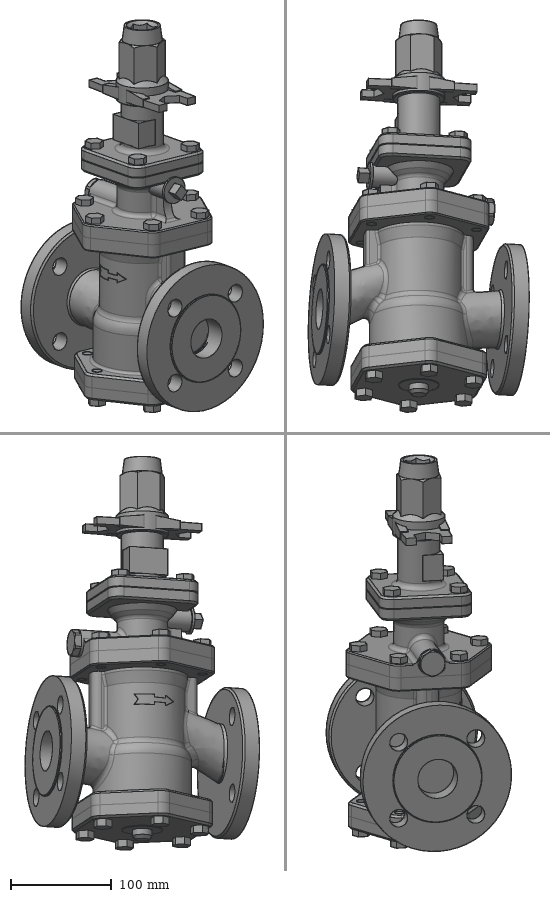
import cadquery as cq
import math


face_to_face = 200.0
flange_dia = 150.0
flange_thickness = 17.0
flange_edge_chamfer = 2.0
raised_face_dia = 90.0
raised_face_height = 2.0
raised_face_chamfer = 0.9
flange_bolt_circle = 110.0
flange_hole_dia = 18.0
port_dia = 40.0
port_depth = 21.0

bottom_z = -83.5
bottom_cover_z = -73.0
bottom_joint_z = -60.0
bottom_flange_top_z = -46.0
bonnet_flange_bottom_z = 82.0
lower_body_radius = 49.0
upper_body_radius = 42.5
body_collar_radius = 45.0
body_shoulder_low_z = -6.0
body_shoulder_mid_z = 5.5
body_shoulder_high_z = 11.5
body_cone_low_z = 67.0
body_cone_high_z = 79.0
body_root_fillet = 3.0
passage_rib_reach = 54.4
passage_rib_half_width = 11.0
passage_rib_root_fillet = 3.0
inlet_rib_edge_fillet = 8.2
outlet_rib_edge_fillet = 3.0
pipe_root_fillet = 5.5
inlet_rib_low_z = 15.0
outlet_rib_low_z = 40.0

bonnet_width = 130.0
bottom_cover_width = 126.0
hex_corner_radius = 12.0
bonnet_edge_chamfer = 1.3
bottom_edge_chamfer = 2.2
bonnet_joint_z = 96.0
bonnet_top_z = 109.5
bonnet_bolt_radius = 61.0
bottom_bolt_radius = 58.0
bolts_per_joint = 6

bolt_head_width = 15.8
bolt_head_height = 6.2
bottom_bolt_head_height = 7.4
bolt_shank_dia = 10.0
bolt_end_projection = 0.5

drain_pad_radius = 20.0
drain_pad_height = 1.0
drain_plug_radius = 9.8
drain_plug_tip_radius = 7.0
drain_plug_cone_z = -80.0

neck_radius = 25.0
bonnet_root_fillet = 5.0
neck_flare_low_z = 135.5
neck_flare_arc_radius = 6.0
neck_flare_cone_low = (27.0, 139.3)
neck_flare_cone_high = (30.8, 143.3)
neck_flare_top_radius = 34.5
cover_width = 93.0
cover_corner_radius = 12.5
cover_low_z = 149.5
cover_joint_z = 161.8
cover_top_z = 173.8
cover_bolt_offset = 33.8
gasket_thickness = 0.8
gasket_inset = 0.5
cover_edge_chamfer = 2.2

stem_radius = 21.0
stem_root_fillet = 6.0
flats_half_width = 20.0
flats_low_z = 182.0
flats_high_z = 208.5
collar_radius = 26.0
collar_low_z = 224.6
collar_shoulder_z = 244.3
collar_top_z = 250.0
collar_low_chamfer = 1.0
collar_top_radius = 20.3
hex_width = 40.5
hex_top_z = 286.5
hex_chamfer_height = 2.2
cap_base_radius = 20.0
cap_top_radius = 18.0
cap_top_z = 301.5
socket_width = 24.0
socket_depth = 10.0
socket_mouth_radius = 15.8

wrench_reach = 54.7
wrench_low_z = 228.6
wrench_high_z = 236.0
wrench_end_half_width = 23.3
wrench_mid_half_width = 25.2
wrench_jaw_width = 26.0
wrench_jaw_center = 50.0
wrench_rib_start = 31.5
wrench_rib_end = 6.2
wrench_rib_inner_y = 16.6
wrench_rib_high_z = 240.6
wrench_rib_low_z = 227.6

strainer_axis_z = 111.3
strainer_radius = 13.5
strainer_end_x = -67.5
strainer_cap_end_x = -74.5
strainer_cap_width = 24.5

plug_axis_z = 142.0
plug_boss_radius = 11.5
plug_rim_radius = 13.5
plug_rim_x = 48.0
plug_head_x = 50.5
plug_end_x = 61.0
plug_head_diagonal = 15.7
plug_rib_half_width = 5.0
plug_rib_top_reach = 39.5
plug_rib_base_reach = 46.0
plug_rib_curve_radius = 26.0

arrow_center_z = 50.0
arrow_half_length = 20.5
arrow_half_height = 5.2
arrow_shaft_half_height = 2.4
arrow_tail_end_x = -1.0
arrow_head_start_x = 11.0
arrow_tail_notch = 3.5
arrow_relief = 0.6

contact_tolerance = 1e-3


def cylinder_z(radius, low_z, high_z, x=0.0, y=0.0):
    return cq.Workplane("XY", origin=(x, y, low_z)).circle(radius).extrude(high_z - low_z)


def cylinder_x(radius, low_x, high_x, z=0.0):
    return cq.Workplane("YZ", origin=(low_x, 0, z)).circle(radius).extrude(high_x - low_x)


def block(x_range, y_range, z_range):
    return (
        cq.Workplane("XY", origin=(x_range[0], y_range[0], z_range[0]))
        .box(
            x_range[1] - x_range[0],
            y_range[1] - y_range[0],
            z_range[1] - z_range[0],
            centered=False,
        )
    )


def hexagon_prism(across_flats, low_z, high_z, turn=0.0):
    """Upright hexagonal prism; with no turn its corners point along X."""
    corner_dia = across_flats / math.cos(math.pi / 6)
    prism = cq.Workplane("XY").polygon(6, corner_dia).extrude(high_z - low_z)
    return prism.rotate((0, 0, 0), (0, 0, 1), turn).translate((0, 0, low_z))


def ring_positions(radius):
    step = 2 * math.pi / bolts_per_joint
    angles = [math.pi / 2 + i * step for i in range(bolts_per_joint)]
    return [(radius * math.cos(a), radius * math.sin(a)) for a in angles]


def lies_on(shape, point):
    vertex = cq.Vertex.makeVertex(*point.toTuple())
    return any(face.distance(vertex) < contact_tolerance for face in shape.faces().vals())


def junction_edges(joined, first, second):
    """Edges of the joined shape that run along both of its parts."""
    edges = []
    for edge in joined.edges().vals():
        points = [edge.positionAt(t) for t in (0.2, 0.5, 0.8)]
        if all(lies_on(first, p) and lies_on(second, p) for p in points):
            edges.append(edge)
    return edges


def blend(first, second, radius):
    """Join two shapes and round the inner corner between them."""
    joined = first.union(second)
    return cq.Workplane(joined.val().fillet(radius, junction_edges(joined, first, second)))


def pipe_flange():
    """Inlet flange, lying on the -X side, facing -X."""
    face_x = -face_to_face / 2
    front_x = face_x + raised_face_height
    back_x = front_x + flange_thickness
    disc = cylinder_x(flange_dia / 2, front_x, back_x).faces(">X").chamfer(flange_edge_chamfer)
    raised = cylinder_x(raised_face_dia / 2, face_x, front_x).faces("<X").chamfer(raised_face_chamfer)
    holes = (
        cq.Workplane("YZ", origin=(face_x, 0, 0))
        .polarArray(flange_bolt_circle / 2, 45, 360, 4)
        .circle(flange_hole_dia / 2)
        .extrude(flange_thickness + raised_face_height)
    )
    return disc.union(raised).cut(holes)


def port():
    return cylinder_x(port_dia / 2, -face_to_face / 2, -face_to_face / 2 + port_depth)


def pipe_section(x, center_z, half_width, half_height):
    plane = cq.Plane(origin=(x, 0, center_z), xDir=(0, 1, 0), normal=(1, 0, 0))
    return cq.Wire.makeEllipse(
        half_height, half_width, plane.origin, plane.zDir, cq.Vector(0, 0, 1)
    ) if half_height > half_width else cq.Wire.makeCircle(half_width, plane.origin, plane.zDir)


def lofted_pipe(sections):
    """Pipe through sections given as x, centre height, half width and half height."""
    wires = [pipe_section(*section) for section in sections]
    return cq.Workplane(cq.Solid.makeLoft(wires, True))


def inlet_pipe():
    back_x = -face_to_face / 2 + raised_face_height + flange_thickness
    return lofted_pipe([
        (back_x - 0.5, -0.5, 30.0, 30.0),
        (back_x + 2.5, -0.5, 28.5, 28.5),
        (-30.0, -5.0, 27.5, 27.5),
    ])


def outlet_pipe():
    back_x = face_to_face / 2 - raised_face_height - flange_thickness
    return lofted_pipe([
        (back_x + 0.5, 9.0, 25.0, 30.0),
        (back_x - 3.0, 10.0, 22.7, 29.0),
        (30.0, 32.0, 22.0, 23.0),
    ])


def body_shell():
    rise = (body_shoulder_mid_z - body_shoulder_low_z) / (body_shoulder_high_z - body_shoulder_low_z)
    shoulder_mid_radius = lower_body_radius - rise * (lower_body_radius - upper_body_radius)
    profile = (
        cq.Workplane("XZ")
        .moveTo(0, bottom_flange_top_z)
        .lineTo(lower_body_radius + body_root_fillet, bottom_flange_top_z)
        .radiusArc((lower_body_radius, bottom_flange_top_z + body_root_fillet), body_root_fillet)
        .lineTo(lower_body_radius, body_shoulder_low_z)
        .tangentArcPoint((shoulder_mid_radius, body_shoulder_mid_z), relative=False)
        .tangentArcPoint((upper_body_radius, body_shoulder_high_z), relative=False)
        .lineTo(upper_body_radius, body_cone_low_z)
        .lineTo(body_collar_radius, body_cone_high_z)
        .lineTo(body_collar_radius, bonnet_flange_bottom_z)
        .lineTo(0, bonnet_flange_bottom_z)
        .close()
    )
    return profile.revolve(360, (0, 0, 0), (0, 1, 0))


def passage_rib(low_z, edge_fillet):
    """Upright rib over a passage, on the +X side."""
    half = passage_rib_half_width
    rib = block((0, passage_rib_reach), (-half, half), (low_z, bonnet_flange_bottom_z))
    return rib.edges("|Z and >X").fillet(edge_fillet)


def body():
    shell = body_shell()
    inlet_rib = passage_rib(inlet_rib_low_z, inlet_rib_edge_fillet).mirror("YZ")
    outlet_rib = passage_rib(outlet_rib_low_z, outlet_rib_edge_fillet)
    casting = blend(shell, inlet_pipe(), pipe_root_fillet)
    casting = blend(casting, outlet_pipe(), pipe_root_fillet)
    casting = blend(casting, inlet_rib, passage_rib_root_fillet)
    casting = blend(casting, outlet_rib, passage_rib_root_fillet)
    return casting.union(flow_arrow())


def flow_arrow():
    tip = arrow_half_length
    tall = arrow_half_height
    thin = arrow_shaft_half_height
    outline = [
        (-tip, tall),
        (arrow_tail_end_x, tall),
        (arrow_tail_end_x, thin),
        (arrow_head_start_x, thin),
        (arrow_head_start_x, tall),
        (tip, 0),
        (arrow_head_start_x, -tall),
        (arrow_head_start_x, -thin),
        (arrow_tail_end_x, -thin),
        (arrow_tail_end_x, -tall),
        (-tip, -tall),
        (-tip + arrow_tail_notch, 0),
    ]
    depth = 2 * upper_body_radius
    prism = cq.Workplane("XZ", origin=(0, 0, arrow_center_z)).polyline(outline).close().extrude(depth)
    skin = cylinder_z(
        upper_body_radius + arrow_relief,
        arrow_center_z - 2 * tall,
        arrow_center_z + 2 * tall,
    )
    return prism.intersect(skin)


def hexagonal_plate(width, low_z, high_z):
    return hexagon_prism(width, low_z, high_z, turn=30).edges("|Z").fillet(hex_corner_radius)


def bolt_head(x, y, low_z, height=bolt_head_height, turn=0.0):
    return hexagon_prism(bolt_head_width, low_z, low_z + height, turn).translate((x, y, 0))


def bottom_joint():
    flange = hexagonal_plate(bottom_cover_width, bottom_joint_z, bottom_flange_top_z)
    cover = hexagonal_plate(bottom_cover_width, bottom_cover_z, bottom_joint_z)
    joint = flange.faces(">Z").chamfer(bottom_edge_chamfer)
    joint = joint.union(cover.faces("<Z").chamfer(bottom_edge_chamfer), clean=False)
    head_low_z = bottom_cover_z - bottom_bolt_head_height
    shank_end_z = bottom_flange_top_z + bolt_end_projection
    for x, y in ring_positions(bottom_bolt_radius):
        joint = joint.union(bolt_head(x, y, head_low_z, bottom_bolt_head_height, turn=30), clean=False)
        joint = joint.union(cylinder_z(bolt_shank_dia / 2, bottom_joint_z, shank_end_z, x, y), clean=False)
    return joint


def body_top_flange():
    flange = hexagonal_plate(bonnet_width, bonnet_flange_bottom_z, bonnet_joint_z)
    flange = flange.faces("<Z").chamfer(bonnet_edge_chamfer)
    shank_end_z = bonnet_flange_bottom_z - bolt_end_projection
    for x, y in ring_positions(bonnet_bolt_radius):
        flange = flange.union(cylinder_z(bolt_shank_dia / 2, shank_end_z, bonnet_joint_z, x, y))
    return flange


def drain_plug():
    profile = (
        cq.Workplane("XZ")
        .moveTo(0, bottom_cover_z)
        .lineTo(drain_pad_radius, bottom_cover_z)
        .lineTo(drain_pad_radius, bottom_cover_z - drain_pad_height)
        .lineTo(drain_plug_radius, bottom_cover_z - drain_pad_height)
        .lineTo(drain_plug_radius, drain_plug_cone_z)
        .lineTo(drain_plug_tip_radius, bottom_z)
        .lineTo(0, bottom_z)
        .close()
    )
    return profile.revolve(360, (0, 0, 0), (0, 1, 0))


def neck_flare():
    profile = (
        cq.Workplane("XZ")
        .moveTo(0, neck_flare_low_z)
        .lineTo(neck_radius, neck_flare_low_z)
        .radiusArc(neck_flare_cone_low, neck_flare_arc_radius)
        .lineTo(*neck_flare_cone_high)
        .lineTo(neck_flare_top_radius, cover_low_z)
        .lineTo(0, cover_low_z)
        .close()
    )
    return profile.revolve(360, (0, 0, 0), (0, 1, 0))


def bonnet_rim(plate):
    """Wedge around the top of the bonnet plate, interrupted at the strainer boss."""
    rim = plate.cut(plate.faces(">Z").chamfer(bonnet_edge_chamfer))
    half_gap = strainer_radius + bonnet_root_fillet
    gap = block((-bonnet_width / 2, 0), (-half_gap, half_gap), (bonnet_joint_z, bonnet_top_z))
    return rim.cut(gap)


def bonnet():
    """Upper hexagonal plate with the neck, the strainer boss and the plug rib blended into it."""
    plate = hexagonal_plate(bonnet_width, bonnet_joint_z, bonnet_top_z)
    tube = cylinder_z(neck_radius, bonnet_top_z, cover_low_z)
    boss = strainer_boss()
    rib = plug_rib()
    casting = plate.union(tube).union(boss).union(rib)
    edges = junction_edges(casting, plate, tube)
    edges += junction_edges(casting, tube, boss)
    edges += [e for e in junction_edges(casting, plate, boss) if e.geomType() == "LINE"]
    edges += junction_edges(casting, plate, rib)
    edges += [e for e in junction_edges(casting, tube, rib) if e.geomType() == "LINE"]
    casting = cq.Workplane(casting.val().fillet(bonnet_root_fillet, edges))
    casting = casting.cut(bonnet_rim(plate)).union(neck_flare())
    for x, y in ring_positions(bonnet_bolt_radius):
        casting = casting.union(bolt_head(x, y, bonnet_top_z))
    return casting


def square_plate(low_z, high_z, width=cover_width):
    return (
        cq.Workplane("XY", origin=(0, 0, low_z))
        .rect(width, width)
        .extrude(high_z - low_z)
        .edges("|Z")
        .fillet(cover_corner_radius)
    )


def square_cover():
    gasket_low = cover_joint_z - gasket_thickness / 2
    gasket_high = cover_joint_z + gasket_thickness / 2
    lower = square_plate(cover_low_z, gasket_low).faces("<Z").chamfer(cover_edge_chamfer)
    gasket = square_plate(gasket_low, gasket_high, cover_width - 2 * gasket_inset)
    upper = square_plate(gasket_high, cover_top_z).faces(">Z").chamfer(cover_edge_chamfer)
    cover = lower.union(gasket).union(upper)
    for x in (-cover_bolt_offset, cover_bolt_offset):
        for y in (-cover_bolt_offset, cover_bolt_offset):
            cover = cover.union(bolt_head(x, y, cover_top_z))
    return cover


def stem():
    profile = (
        cq.Workplane("XZ")
        .moveTo(0, cover_top_z)
        .lineTo(stem_radius + stem_root_fillet, cover_top_z)
        .radiusArc((stem_radius, cover_top_z + stem_root_fillet), stem_root_fillet)
        .lineTo(stem_radius, collar_low_z)
        .lineTo(collar_radius - collar_low_chamfer, collar_low_z)
        .lineTo(collar_radius, collar_low_z + collar_low_chamfer)
        .lineTo(collar_radius, collar_shoulder_z)
        .lineTo(collar_top_radius, collar_top_z)
        .lineTo(0, collar_top_z)
        .close()
    )
    turned = profile.revolve(360, (0, 0, 0), (0, 1, 0))
    flats_z = (flats_low_z, flats_high_z)
    front_half = block((-stem_radius, stem_radius), (-stem_radius, 0), flats_z)
    flats = block((-flats_half_width, flats_half_width), (-stem_radius, 0), flats_z)
    return turned.cut(front_half).union(flats)


def adjuster():
    """Hexagonal head with bevelled corners, a tapered cap and a hexagonal socket."""
    corner_radius = hex_width / 2 / math.cos(math.pi / 6)
    head = hexagon_prism(hex_width, collar_shoulder_z, hex_top_z)
    bevel = (
        cylinder_z(corner_radius, collar_shoulder_z, hex_top_z)
        .faces(">Z")
        .chamfer(hex_chamfer_height, corner_radius - hex_width / 2)
    )
    cap = (
        cq.Workplane("XZ")
        .polyline([
            (0, hex_top_z),
            (cap_base_radius, hex_top_z),
            (cap_top_radius, cap_top_z),
            (0, cap_top_z),
        ])
        .close()
        .revolve(360, (0, 0, 0), (0, 1, 0))
    )
    socket = hexagon_prism(socket_width, cap_top_z - socket_depth, cap_top_z)
    mouth = cq.Workplane(
        cq.Solid.makeCone(
            0, socket_mouth_radius, socket_mouth_radius, cq.Vector(0, 0, cap_top_z - socket_mouth_radius)
        )
    )
    mouth = mouth.intersect(cylinder_z(socket_mouth_radius, cap_top_z - socket_depth, cap_top_z))
    return head.intersect(bevel).union(cap).cut(socket).cut(mouth)


def wrench():
    outline = [
        (wrench_reach, wrench_end_half_width),
        (wrench_rib_end, wrench_mid_half_width),
        (wrench_rib_end, -wrench_mid_half_width),
        (wrench_reach, -wrench_end_half_width),
    ]
    thickness = wrench_high_z - wrench_low_z
    arm = cq.Workplane("XY", origin=(0, 0, wrench_low_z)).polyline(outline).close().extrude(thickness)
    jaw = hexagon_prism(wrench_jaw_width, wrench_low_z, wrench_high_z)
    arm = arm.cut(jaw.translate((wrench_jaw_center, 0, 0)))
    arm = arm.cut(block(
        (wrench_jaw_center, wrench_reach),
        (-wrench_jaw_width / 2, wrench_jaw_width / 2),
        (wrench_low_z, wrench_high_z),
    ))
    rib_outline = [
        (wrench_rib_start, wrench_low_z),
        (wrench_rib_start, wrench_high_z + 1),
        (wrench_rib_end, wrench_rib_high_z),
        (wrench_rib_end, wrench_rib_low_z),
    ]
    rib_width = wrench_mid_half_width - wrench_rib_inner_y
    rib = (
        cq.Workplane("XZ", origin=(0, wrench_mid_half_width, 0))
        .polyline(rib_outline)
        .close()
        .extrude(rib_width)
    )
    arm = arm.union(rib).union(rib.mirror("XZ"))
    return arm.union(arm.mirror("YZ"))


def strainer_boss():
    return cylinder_x(strainer_radius, strainer_end_x, 0, strainer_axis_z)


def strainer_cap():
    """Hexagonal plug head with bevelled corners, its corners pointing up and down."""
    corner_dia = strainer_cap_width / math.cos(math.pi / 6)
    hexagon = (
        cq.Workplane("YZ")
        .polygon(6, corner_dia)
        .extrude(strainer_end_x - strainer_cap_end_x)
        .rotate((0, 0, 0), (1, 0, 0), 90)
        .translate((strainer_cap_end_x, 0, strainer_axis_z))
    )
    bevel = cylinder_x(strainer_radius, strainer_cap_end_x, strainer_end_x, strainer_axis_z)
    bevel = bevel.faces("<X").chamfer(strainer_radius - strainer_cap_width / 2)
    return hexagon.intersect(bevel)


def plug_rib():
    """Upright rib that carries the plug boss."""
    return (
        cq.Workplane("XZ", origin=(0, plug_rib_half_width, 0))
        .moveTo(0, bonnet_top_z)
        .lineTo(plug_rib_base_reach, bonnet_top_z)
        .radiusArc((plug_rib_top_reach, plug_axis_z - plug_boss_radius), plug_rib_curve_radius)
        .lineTo(plug_rib_top_reach, plug_axis_z)
        .lineTo(0, plug_axis_z)
        .close()
        .extrude(2 * plug_rib_half_width)
    )


def plug_boss():
    boss = cylinder_x(plug_boss_radius, 0, plug_rim_x, plug_axis_z)
    rim = cylinder_x(plug_rim_radius, plug_rim_x, plug_head_x, plug_axis_z)
    head = (
        cq.Workplane("YZ", origin=(plug_head_x, 0, plug_axis_z))
        .polygon(4, plug_head_diagonal)
        .extrude(plug_end_x - plug_head_x)
    )
    return boss.union(rim).union(head)


def build_valve():
    """Join all parts, keeping the seams where the covers meet the flanges."""
    valve = body()
    parts = [
        bottom_joint(),
        drain_plug(),
        body_top_flange(),
        bonnet(),
        strainer_cap(),
        plug_boss(),
        square_cover(),
        stem(),
        adjuster(),
        wrench(),
        pipe_flange(),
        pipe_flange().mirror("YZ"),
    ]
    for part in parts:
        valve = valve.union(part, clean=False)
    return valve.cut(port(), clean=False).cut(port().mirror("YZ"), clean=False)


result = build_valve()